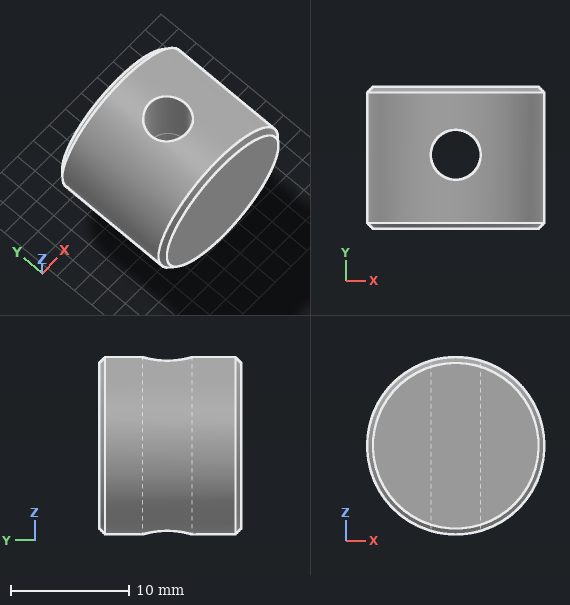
import cadquery as cq

body_diameter = 15.0
body_length = 12.0
end_chamfer = 0.5
hole_diameter = 4.2
hole_offset = 0.25

body_radius = body_diameter / 2
half_length = body_length / 2


def make_body():
    """Barrel with both rims chamfered, revolved about Y from its half section."""
    rim_radius = body_radius - end_chamfer
    shoulder = half_length - end_chamfer
    half_section = (
        cq.Workplane("YZ")
        .moveTo(-half_length, 0)
        .lineTo(-half_length, rim_radius)
        .lineTo(-shoulder, body_radius)
        .lineTo(shoulder, body_radius)
        .lineTo(half_length, rim_radius)
        .lineTo(half_length, 0)
        .close()
    )
    return half_section.revolve(360, (0, 0, 0), (1, 0, 0))


def make_cross_hole():
    """Vertical cutter that crosses the full body diameter."""
    return (
        cq.Workplane("XY")
        .center(0, hole_offset)
        .circle(hole_diameter / 2)
        .extrude(body_diameter, both=True)
    )


result = make_body().cut(make_cross_hole())